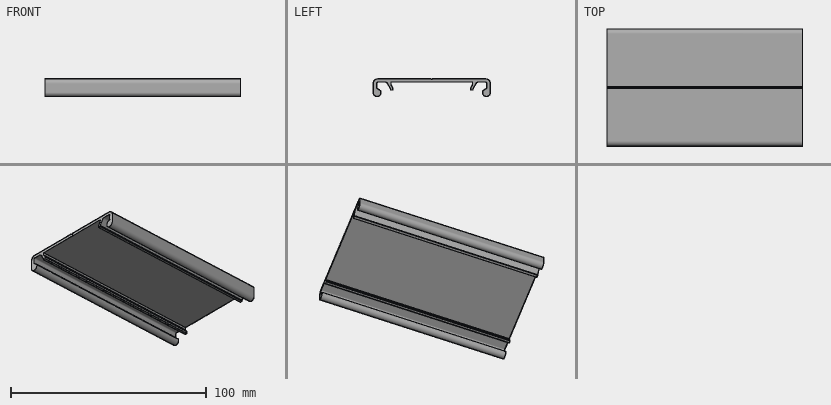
import cadquery as cq
import math

length = 100.0
width = 60.0
height = 9.1

plate_thickness = 1.7
wall_thickness = 2.0
outer_radius = 2.6
inner_radius = 0.6

bead_radius = 2.05
bead_shoulder_angle = math.radians(30)
shoulder_depth = 4.8

clip_root_offset = 6.9
clip_root_radius = 1.3
clip_tip_outer_offset = 8.9
clip_tip_inner_offset = 10.2
clip_knee_offset = 9.2
clip_knee_depth = 3.1
clip_outer_bend_depth = 5.2
clip_inner_bend_depth = 4.7
clip_tip_depth = 5.8

groove_width = 1.0
groove_depth = 0.5

half_width = width / 2


def extrude_profile(profile):
    """Extrude a YZ profile symmetrically about X = 0."""
    return profile.extrude(length / 2, both=True)


def round_edge(body, y, z, radius):
    """Round the lengthwise edge nearest to the given profile point."""
    return body.edges("|X").edges(cq.selectors.NearestToPointSelector((0, y, z))).fillet(radius)


def make_plate():
    plate = cq.Workplane("XY").box(length, width, plate_thickness)
    plate = plate.translate((0, 0, -plate_thickness / 2))
    groove = extrude_profile(
        cq.Workplane("YZ")
        .moveTo(-groove_width / 2, 0)
        .lineTo(0, -groove_depth)
        .lineTo(groove_width / 2, 0)
        .close()
    )
    return plate.cut(groove)


def make_side_wall():
    """Wall at the +Y side, ending in the bead."""
    inner_y = half_width - wall_thickness
    bead_y = half_width - bead_radius
    bead_z = bead_radius - height
    shoulder_y = bead_y - bead_radius * math.cos(bead_shoulder_angle)
    shoulder_z = bead_z + bead_radius * math.sin(bead_shoulder_angle)
    return extrude_profile(
        cq.Workplane("YZ")
        .moveTo(inner_y, 0)
        .lineTo(half_width, 0)
        .lineTo(half_width, bead_z)
        .threePointArc((bead_y, -height), (shoulder_y, shoulder_z))
        .lineTo(inner_y, -shoulder_depth)
        .close()
    )


def make_clip():
    """Clip rib near the +Y side, leaning toward the middle of the part."""
    return extrude_profile(
        cq.Workplane("YZ")
        .moveTo(half_width - clip_root_offset, -plate_thickness)
        .lineTo(half_width - clip_tip_outer_offset, -clip_outer_bend_depth)
        .lineTo(half_width - clip_tip_outer_offset, -clip_tip_depth)
        .lineTo(half_width - clip_tip_inner_offset, -clip_tip_depth)
        .lineTo(half_width - clip_tip_inner_offset, -clip_inner_bend_depth)
        .lineTo(half_width - clip_knee_offset, -clip_knee_depth)
        .lineTo(half_width - clip_knee_offset, -plate_thickness)
        .close()
    )


result = make_plate()
for side_feature in (make_side_wall(), make_clip()):
    result = result.union(side_feature).union(side_feature.mirror("XZ"))

for side in (-1, 1):
    result = round_edge(result, side * half_width, 0, outer_radius)
    result = round_edge(result, side * (half_width - wall_thickness), -plate_thickness, inner_radius)
    result = round_edge(result, side * (half_width - clip_root_offset), -plate_thickness, clip_root_radius)